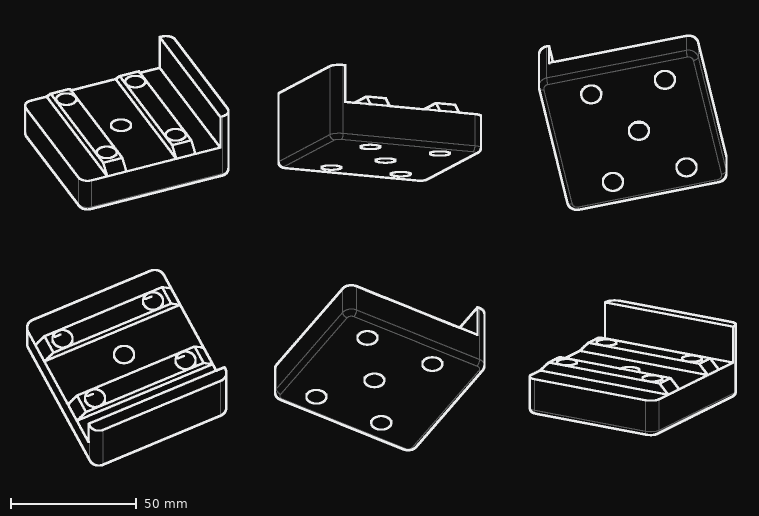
import cadquery as cq

width = 60.0
depth = 65.0
height = 30.0

base_height = 15.0
wall_thickness = 5.0
corner_radius = 4.0
bottom_fillet = 2.0

rib_height = 4.0
rib_width = 8.3

hole_diameter = 8.0
hole_spacing_x = 40.0
rib_spacing = 30.0

floor_center_y = -wall_thickness / 2
rib_positions = [floor_center_y + side * rib_spacing / 2 for side in (-1, 1)]


def make_body():
    """Rounded block with a filleted underside, cut down to leave the back wall."""
    block = (
        cq.Workplane("XY")
        .rect(width, depth)
        .extrude(height)
        .edges("|Z")
        .fillet(corner_radius)
        .faces("<Z")
        .edges()
        .fillet(bottom_fillet)
    )
    clearance = (
        cq.Workplane("XY", origin=(0, floor_center_y, base_height))
        .rect(width, depth - wall_thickness)
        .extrude(height - base_height)
    )
    return block.cut(clearance)


def make_rib(center_y):
    """Full-width trapezoidal rib standing on the floor."""
    half_base = width / 2
    half_top = half_base - rib_height
    return (
        cq.Workplane("XZ", origin=(0, center_y, base_height))
        .polyline([(-half_base, 0), (half_base, 0), (half_top, rib_height), (-half_top, rib_height)])
        .close()
        .extrude(rib_width / 2, both=True)
    )


def make_holes():
    """Vertical cutters for all through holes."""
    centers = [(0, floor_center_y)]
    for rib_y in rib_positions:
        for side in (-1, 1):
            centers.append((side * hole_spacing_x / 2, rib_y))
    return cq.Workplane("XY").pushPoints(centers).circle(hole_diameter / 2).extrude(height)


result = make_body()
for rib_y in rib_positions:
    result = result.union(make_rib(rib_y))
result = result.cut(make_holes())